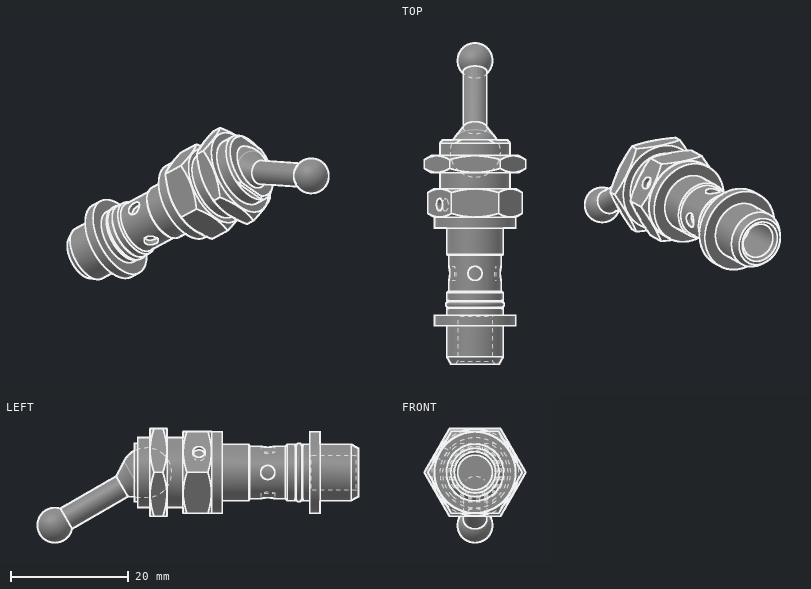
import cadquery as cq
import math


sleeve_diameter = 9.7
sleeve_radius = sleeve_diameter / 2
nose_length = 1.3
nose_radius = 4.1

bore_radius = 2.95
bore_mouth_radius = 3.5
bore_chamfer = 0.55
bore_depth = 8.2

flange_radius = 6.95
flange_start = 6.6
flange_end = 8.4
collar_start = 23.25
collar_end = 25.05

seal_radius = 0.5
seal_outer_diameter = 10.05
seal_outer_radius = seal_outer_diameter / 2
seal_position = 10.2
groove_width = 1.3
groove_floor_radius = 4.5

neck_start = 12.15
neck_start_taper = 0.35
neck_end = 18.75
neck_end_taper = 0.15
neck_radius = 4.5
port_radius = 1.2
port_position = 15.5
port_count = 4
port_floor_radius = 3.5

body_hex_flats = 14.0
body_hex_length = 4.95
body_hex_end = collar_end + body_hex_length
nut_flats = 15.0
nut_length = 2.95
nut_start = 32.65
hex_chamfer_angle = 30.0
hex_face_inset = 0.1

vent_radius = 1.05
vent_depth = 1.1
vent_position = 27.25
vent_angle = 30.0

thread_diameter = 12.0
thread_radius = thread_diameter / 2
thread_end = 38.25
end_chamfer_length = 0.55
end_chamfer_depth = 0.45
end_across_flats = 10.05
end_flat_height = end_across_flats / 2

lever_tilt = 30.0
pivot_position = 36.25
pivot_radius = 4.3
cone_start = 2.35
cone_end = 4.75
stem_radius = 2.05
knob_radius = 3.0
knob_distance = 18.0


def revolve_about_y(outline):
    return outline.close().revolve(360, (0, 0, 0), (0, 1, 0))


def cylinder_along_y(radius, start, end):
    plane = cq.Workplane(cq.Plane((0, start, 0), (1, 0, 0), (0, 1, 0)))
    return plane.circle(radius).extrude(end - start)


def chamfered_hexagon(flats, start, length):
    """Hexagon about Y with flats facing +Z and -Z, its corners turned off at both ends."""
    corner_radius = flats / math.sqrt(3)
    end = start + length
    plane = cq.Workplane(cq.Plane((0, start, 0), (1, 0, 0), (0, 1, 0)))
    prism = plane.polygon(6, 2 * corner_radius).extrude(length)
    face_radius = flats / 2 - hex_face_inset
    chamfer = (corner_radius - face_radius) * math.tan(math.radians(hex_chamfer_angle))
    envelope = revolve_about_y(
        cq.Workplane("XY")
        .moveTo(0, start)
        .lineTo(face_radius, start)
        .lineTo(corner_radius, start + chamfer)
        .lineTo(corner_radius, end - chamfer)
        .lineTo(face_radius, end)
        .lineTo(0, end)
    )
    return prism.intersect(envelope)


def make_sleeve():
    """Turned sleeve with nose, flange, seal groove, waisted neck and collar."""
    groove_start = seal_position - groove_width / 2
    groove_end = seal_position + groove_width / 2
    return revolve_about_y(
        cq.Workplane("XY")
        .moveTo(0, 0)
        .lineTo(nose_radius, 0)
        .lineTo(sleeve_radius, nose_length)
        .lineTo(sleeve_radius, flange_start)
        .lineTo(flange_radius, flange_start)
        .lineTo(flange_radius, flange_end)
        .lineTo(sleeve_radius, flange_end)
        .lineTo(sleeve_radius, groove_start)
        .lineTo(groove_floor_radius, groove_start)
        .lineTo(groove_floor_radius, groove_end)
        .lineTo(sleeve_radius, groove_end)
        .lineTo(sleeve_radius, neck_start)
        .lineTo(neck_radius, neck_start + neck_start_taper)
        .lineTo(neck_radius, neck_end - neck_end_taper)
        .lineTo(sleeve_radius, neck_end)
        .lineTo(sleeve_radius, collar_start)
        .lineTo(flange_radius, collar_start)
        .lineTo(flange_radius, collar_end)
        .lineTo(0, collar_end)
    )


def make_seal():
    """Disc with a half-round rim; the rim is the visible outside of the seal ring."""
    center_radius = seal_outer_radius - seal_radius
    return revolve_about_y(
        cq.Workplane("XY")
        .moveTo(center_radius, seal_position - seal_radius)
        .threePointArc(
            (seal_outer_radius, seal_position), (center_radius, seal_position + seal_radius)
        )
        .lineTo(0, seal_position + seal_radius)
        .lineTo(0, seal_position - seal_radius)
    )


def make_threaded_end():
    """Plain cylinder with a chamfered end, flattened on top and bottom over the chamfer."""
    thread = revolve_about_y(
        cq.Workplane("XY")
        .moveTo(0, body_hex_end)
        .lineTo(thread_radius, body_hex_end)
        .lineTo(thread_radius, thread_end - end_chamfer_length)
        .lineTo(thread_radius - end_chamfer_depth, thread_end)
        .lineTo(0, thread_end)
    )
    cut_depth = thread_radius - end_flat_height
    for side in (-1, 1):
        flat = cq.Workplane("XY").box(2 * thread_radius, end_chamfer_length, cut_depth)
        cut_center = side * (end_flat_height + cut_depth / 2)
        thread = thread.cut(flat.translate((0, thread_end - end_chamfer_length / 2, cut_center)))
    return thread


def make_bore():
    """Blind bore with a chamfered mouth."""
    return revolve_about_y(
        cq.Workplane("XY")
        .moveTo(0, 0)
        .lineTo(bore_mouth_radius, 0)
        .lineTo(bore_radius, bore_chamfer)
        .lineTo(bore_radius, bore_depth)
        .lineTo(0, bore_depth)
    )


def make_ports():
    """Radial holes that stop on a round core."""
    ports = cq.Workplane("XY")
    for index in range(port_count):
        port = cq.Workplane("XY").circle(port_radius).extrude(sleeve_radius)
        port = port.translate((0, port_position, 0))
        ports = ports.add(port.rotate((0, 0, 0), (0, 1, 0), index * 360 / port_count))
    core = cylinder_along_y(port_floor_radius, neck_start, neck_end)
    return ports.combine().cut(core)


def make_vent():
    """Blind hole square to the flat that faces -X and +Z."""
    outward = cq.Vector(-math.cos(math.radians(vent_angle)), 0, math.sin(math.radians(vent_angle)))
    mouth = outward * (body_hex_flats / 2) + cq.Vector(0, vent_position, 0)
    plane = cq.Plane(mouth, (0, 1, 0), outward)
    return cq.Workplane(plane).circle(vent_radius).extrude(-vent_depth)


def make_lever():
    """Turned lever: pivot ball, cone, stem and knob, tilted down from the valve axis."""
    cone_radius = math.sqrt(pivot_radius**2 - cone_start**2)
    stem_end = knob_distance - math.sqrt(knob_radius**2 - stem_radius**2)
    lever = revolve_about_y(
        cq.Workplane("XY")
        .moveTo(0, -pivot_radius)
        .threePointArc((pivot_radius, 0), (cone_radius, cone_start))
        .lineTo(stem_radius, cone_end)
        .lineTo(stem_radius, stem_end)
        .threePointArc((knob_radius, knob_distance), (0, knob_distance + knob_radius))
    )
    lever = lever.rotate((0, 0, 0), (1, 0, 0), -lever_tilt)
    return lever.translate((0, pivot_position, 0))


def make_housing(lever):
    """Sleeve, seal ring, hexagons and threaded end in one piece, with a socket that fits the lever."""
    return (
        make_sleeve()
        .union(make_seal())
        .union(chamfered_hexagon(body_hex_flats, collar_end, body_hex_length))
        .union(make_threaded_end())
        .union(chamfered_hexagon(nut_flats, nut_start, nut_length))
        .cut(make_bore())
        .cut(make_ports())
        .cut(make_vent())
        .cut(lever)
    )


lever = make_lever()
housing = make_housing(lever)
result = cq.Compound.makeCompound([housing.val(), lever.val()])